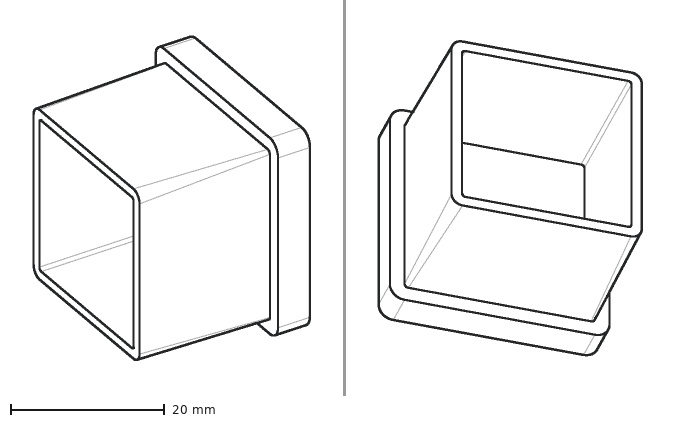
import cadquery as cq

flange_side = 30.0
total_length = 25.0
flange_thickness = 5.0
flange_corner_radius = 2.0
back_edge_radius = 0.25

flange_lip = 2.0
plug_side = flange_side - 2 * flange_lip
plug_length = total_length - flange_thickness
plug_root_radius = 0.5
plug_end_radius = 1.5

wall_thickness = 1.45
cavity_side = plug_side - 2 * wall_thickness
cavity_corner_radius = 0.45
cavity_depth = plug_length


def rounded_square(side, radius):
    return cq.Sketch().rect(side, side).vertices().fillet(radius)


def section_plane(y):
    """Plane at position y whose normal points toward -Y."""
    return cq.Workplane("XZ", origin=(0, y, 0))


def make_flange():
    block = section_plane(total_length).placeSketch(
        rounded_square(flange_side, flange_corner_radius)
    ).extrude(flange_thickness)
    return block.faces(">Y").edges().fillet(back_edge_radius)


def make_plug():
    root = rounded_square(plug_side, plug_root_radius)
    end = rounded_square(plug_side, plug_end_radius).moved(cq.Location(cq.Vector(0, 0, plug_length)))
    return section_plane(plug_length).placeSketch(root, end).loft(ruled=True)


def make_cavity():
    return section_plane(cavity_depth).placeSketch(
        rounded_square(cavity_side, cavity_corner_radius)
    ).extrude(cavity_depth)


result = make_flange().union(make_plug()).cut(make_cavity())